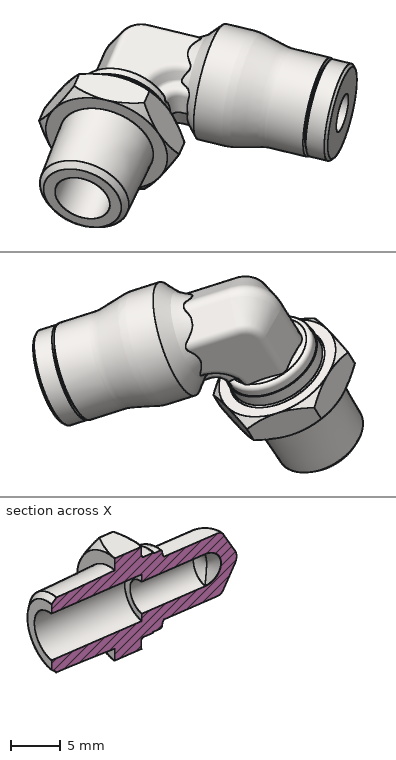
import cadquery as cq
import math


BODY_HALF_HEIGHT = 4.0
OUTER_CORNER = 2.05
OUTER_APEX = 4.23
OUTER_APEX_ROUND = 1.65
FLAT_ROUND = 0.93
INNER_CORNER = 2.32
INNER_SLOPE = math.radians(60)
WEB_HALF_HEIGHT = 2.55
WEB_SHOULDER = 4.47
WEB_EDGE = 5.02
WEB_ROOT_ROUND = 0.44
WEB_ROUND = 0.72
BEND_CENTRE = 5.9
INNER_FLAT_EDGE = INNER_CORNER - FLAT_ROUND * math.tan(INNER_SLOPE / 2)
LEG_INTO_SLEEVE = 1.15

BLEND_START_X, BLEND_START_RADIUS = 4.5, 3.75
BLEND_MID_X, BLEND_MID_RADIUS = 5.48, 4.2
CONE_START_X, CONE_START_RADIUS = 6.24, 4.65
SLEEVE_START_X, SLEEVE_RADIUS = 7.57, 6.05
NECK_START_X, NECK_END_X = 10.6, 15.08
NECK_RADIUS = 5.2
NECK_ARC_LENGTH = 0.9
GROOVE_START_X, GROOVE_END_X = 18.97, 19.25
GROOVE_RADIUS = 4.55
RING_RADIUS = 5.1
RING_CHAMFER = 0.3

HEX_FLATS = 13.0
HEX_CORNER_RADIUS = HEX_FLATS / math.sqrt(3)
HEX_TOP_Y, HEX_BOTTOM_Y = -7.98, -11.4
HEX_CHAMFER_AXIAL = 0.85

TOTAL_X, TOTAL_Y = 29.0, 25.4
END_X = TOTAL_X - HEX_CORNER_RADIUS
STUD_END_Y = SLEEVE_RADIUS - TOTAL_Y

COLLAR_TOP_Y, COLLAR_STEP_Y, COLLAR_FLARE_Y = -5.35, -6.5, -7.83
COLLAR_TOP_RADIUS, COLLAR_RADIUS, COLLAR_FLARE_RADIUS = 5.0, 5.1, 5.28
COLLAR_ROUND = 0.44
SHOULDER_TOP_Y, SHOULDER_TOP_RADIUS = -5.08, 3.75
SHOULDER_BASE_RADIUS = 4.4

GAUGE_Y, GAUGE_RADIUS = -15.3, 4.87
TAPER = 1 / 32
STUD_CHAMFER = 0.6

BORE_RADIUS = 2.0
STUD_BORE_RADIUS = 2.93
DRILL_HALF_ANGLE = math.radians(59)


def turned_about_x(profile):
    return profile.close().revolve(360, (0, 0), (1, 0))


def turned_about_y(profile):
    return profile.close().revolve(360, (0, 0), (0, 1))


def swap_legs(solid):
    """Half turn about the diagonal of the elbow: exchanges the stud leg and the sleeve leg."""
    return solid.rotate((0, 0, 0), (1, -1, 0), 180)


def outer_section(inner_edge):
    """Outside half of the leg section, closed by a straight side at inner_edge."""
    upper = [(inner_edge, BODY_HALF_HEIGHT), (-OUTER_CORNER, BODY_HALF_HEIGHT)]
    lower = [(x, -z) for x, z in reversed(upper)]
    outline = upper + [(-OUTER_APEX, 0)] + lower
    sketch = cq.Sketch().polygon(outline + outline[:1])
    sketch.vertices("<X").fillet(OUTER_APEX_ROUND).reset()
    for z in (BODY_HALF_HEIGHT, -BODY_HALF_HEIGHT):
        corner = (-OUTER_CORNER, z, 0)
        sketch.vertices(cq.selectors.NearestToPointSelector(corner)).fillet(FLAT_ROUND).reset()
    return sketch


def inner_section():
    """Inside half of the leg section: rounded flank and thinner web."""
    slope_run = (BODY_HALF_HEIGHT - WEB_HALF_HEIGHT) / math.tan(INNER_SLOPE)
    rounded = [
        (INNER_CORNER, BODY_HALF_HEIGHT, FLAT_ROUND),
        (INNER_CORNER + slope_run, WEB_HALF_HEIGHT, WEB_ROOT_ROUND),
        (WEB_SHOULDER, WEB_HALF_HEIGHT, WEB_ROUND),
    ]
    upper = [(0, BODY_HALF_HEIGHT)] + [(x, z) for x, z, _ in rounded]
    lower = [(x, -z) for x, z in reversed(upper)]
    outline = upper + [(WEB_EDGE, 0)] + lower
    sketch = cq.Sketch().polygon(outline + outline[:1])
    for x, z, radius in rounded:
        for side in (1, -1):
            corner = (x, side * z, 0)
            sketch.vertices(cq.selectors.NearestToPointSelector(corner)).fillet(radius).reset()
    return sketch


def make_elbow():
    leg = cq.Workplane("XZ").placeSketch(outer_section(INNER_FLAT_EDGE)).extrude(BEND_CENTRE)
    outer_bend = cq.Workplane("XZ").placeSketch(outer_section(0)).revolve(90, (0, 0), (0, -1))
    bend_start = cq.Workplane("XZ", origin=(0, -BEND_CENTRE, 0)).placeSketch(inner_section())
    inner_bend = bend_start.revolve(90, (BEND_CENTRE, 0), (BEND_CENTRE, -1))
    web_end = swap_legs(bend_start.extrude(LEG_INTO_SLEEVE))
    return leg.union(swap_legs(leg)).union(outer_bend).union(inner_bend).union(web_end)


def make_sleeve():
    neck_in = (NECK_START_X, SLEEVE_RADIUS)
    neck_out = (NECK_END_X, NECK_RADIUS)
    cone_length = NECK_END_X - NECK_START_X - 2 * NECK_ARC_LENGTH
    arc_drop = (SLEEVE_RADIUS - NECK_RADIUS) / 2 * NECK_ARC_LENGTH / (NECK_ARC_LENGTH + cone_length)
    profile = (
        cq.Workplane("XY")
        .moveTo(BLEND_START_X, 0)
        .lineTo(BLEND_START_X, BLEND_START_RADIUS)
        .threePointArc((BLEND_MID_X, BLEND_MID_RADIUS), (CONE_START_X, CONE_START_RADIUS))
        .lineTo(SLEEVE_START_X, SLEEVE_RADIUS)
        .lineTo(*neck_in)
        .tangentArcPoint((NECK_START_X + NECK_ARC_LENGTH, SLEEVE_RADIUS - arc_drop), relative=False)
        .lineTo(NECK_END_X - NECK_ARC_LENGTH, NECK_RADIUS + arc_drop)
        .tangentArcPoint(neck_out, relative=False)
        .lineTo(GROOVE_START_X, NECK_RADIUS)
        .lineTo(GROOVE_START_X, GROOVE_RADIUS)
        .lineTo(GROOVE_END_X, GROOVE_RADIUS)
        .lineTo(GROOVE_END_X, RING_RADIUS)
        .lineTo(END_X - RING_CHAMFER, RING_RADIUS)
        .lineTo(END_X, RING_RADIUS - RING_CHAMFER)
        .lineTo(END_X, 0)
    )
    return turned_about_x(profile)


def make_collar():
    profile = (
        cq.Workplane("XY")
        .moveTo(0, SHOULDER_TOP_Y)
        .lineTo(SHOULDER_TOP_RADIUS, SHOULDER_TOP_Y)
        .lineTo(SHOULDER_BASE_RADIUS, COLLAR_TOP_Y)
        .lineTo(COLLAR_TOP_RADIUS - COLLAR_ROUND, COLLAR_TOP_Y)
        .tangentArcPoint((COLLAR_ROUND, -COLLAR_ROUND))
        .lineTo(COLLAR_TOP_RADIUS, COLLAR_STEP_Y)
        .lineTo(COLLAR_RADIUS, COLLAR_STEP_Y)
        .lineTo(COLLAR_RADIUS, COLLAR_FLARE_Y)
        .lineTo(COLLAR_FLARE_RADIUS, HEX_TOP_Y)
        .lineTo(0, HEX_TOP_Y)
    )
    return turned_about_y(profile)


def make_hexagon():
    prism = (
        cq.Workplane("XZ", origin=(0, HEX_TOP_Y, 0))
        .polygon(6, 2 * HEX_CORNER_RADIUS)
        .extrude(HEX_TOP_Y - HEX_BOTTOM_Y)
    )
    face_radius = HEX_FLATS / 2
    chamfered = turned_about_y(
        cq.Workplane("XY")
        .moveTo(0, HEX_TOP_Y)
        .lineTo(face_radius, HEX_TOP_Y)
        .lineTo(HEX_CORNER_RADIUS, HEX_TOP_Y - HEX_CHAMFER_AXIAL)
        .lineTo(HEX_CORNER_RADIUS, HEX_BOTTOM_Y + HEX_CHAMFER_AXIAL)
        .lineTo(face_radius, HEX_BOTTOM_Y)
        .lineTo(0, HEX_BOTTOM_Y)
    )
    return prism.intersect(chamfered)


def make_stud():
    def radius_at(y):
        return GAUGE_RADIUS + TAPER * (y - GAUGE_Y)

    chamfer_y = STUD_END_Y + STUD_CHAMFER
    profile = (
        cq.Workplane("XY")
        .moveTo(0, HEX_BOTTOM_Y)
        .lineTo(radius_at(HEX_BOTTOM_Y), HEX_BOTTOM_Y)
        .lineTo(radius_at(chamfer_y), chamfer_y)
        .lineTo(radius_at(chamfer_y) - STUD_CHAMFER, STUD_END_Y)
        .lineTo(0, STUD_END_Y)
    )
    return turned_about_y(profile)


def make_bores():
    """Two crossing bores with drill points past the origin, and the wide bore in the stud."""
    point_depth = BORE_RADIUS / math.tan(DRILL_HALF_ANGLE)
    sleeve_bore = turned_about_x(
        cq.Workplane("XY")
        .moveTo(-point_depth, 0)
        .lineTo(0, BORE_RADIUS)
        .lineTo(END_X, BORE_RADIUS)
        .lineTo(END_X, 0)
    )
    stud_bore = turned_about_y(
        cq.Workplane("XY")
        .moveTo(0, point_depth)
        .lineTo(BORE_RADIUS, 0)
        .lineTo(BORE_RADIUS, HEX_TOP_Y)
        .lineTo(STUD_BORE_RADIUS, HEX_TOP_Y)
        .lineTo(STUD_BORE_RADIUS, STUD_END_Y)
        .lineTo(0, STUD_END_Y)
    )
    return sleeve_bore.union(stud_bore)


result = make_elbow()
for piece in (make_sleeve(), make_collar(), make_hexagon(), make_stud()):
    result = result.union(piece)
result = result.cut(make_bores())